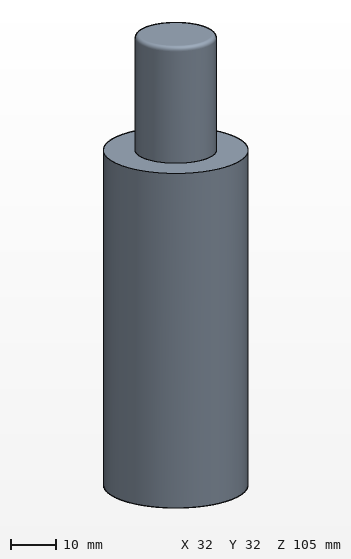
import cadquery as cq

body_diameter = 32.0
pin_diameter = 18.0
total_length = 105.0
pin_length = 27.0
pin_tip_radius = 1.0

body_length = total_length - pin_length


def make_body():
    """Main cylinder, standing on the XY plane."""
    return cq.Workplane("XY").circle(body_diameter / 2).extrude(body_length)


def make_pin():
    """Narrower coaxial pin with a rounded tip edge."""
    pin = cq.Workplane("XY").workplane(offset=body_length).circle(pin_diameter / 2).extrude(pin_length)
    return pin.faces(">Z").edges().fillet(pin_tip_radius)


result = make_body().union(make_pin())